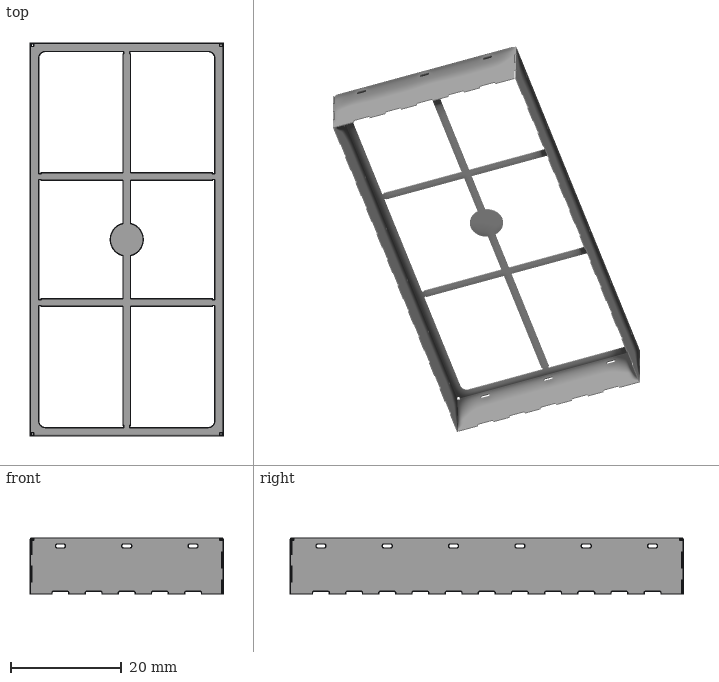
import cadquery as cq

width = 34.92
length = 71.12
height = 10.16
sheet = 0.2
bend_radius = 0.3

frame_width = 1.55
window_radius = 1.2
rib_width = 1.4
cross_rib_y = 11.4
rib_end_width = 1.1
rib_end_length = 0.4
disc_diameter = 6.0

slot_pitch = 12.0
slot_width = 1.75
slot_height = 0.7
slot_corner_radius = 0.3
slot_drop = 1.45
notch_pitch = slot_pitch / 2
notch_width = 3.0
notch_height = 0.5
notch_corner_radius = 0.25
slots_per_end_wall = 3
slots_per_side_wall = 6

relief_size = 0.6
relief_depth = 0.4
corner_gap = 0.1
finger_gap = 0.3
finger_count = 4

half_width = width / 2
half_length = length / 2
window_width = width - 2 * frame_width
window_length = length - 2 * frame_width
finger_zone = height - relief_depth
finger_height = (finger_zone - (finger_count - 1) * finger_gap) / finger_count


def block(size_x, size_y, size_z, x=0.0, y=0.0, base_z=0.0):
    """Box centred on x and y, standing on base_z."""
    box = cq.Workplane("XY").box(size_x, size_y, size_z, centered=(True, True, False))
    return box.translate((x, y, base_z))


def centred_positions(count, pitch):
    return [(i - (count - 1) / 2) * pitch for i in range(count)]


def folded_tray():
    """Open-bottomed tray of even sheet thickness, rounded along its top edges."""
    outer = block(width, length, height).faces(">Z").edges().fillet(bend_radius)
    inner = block(width - 2 * sheet, length - 2 * sheet, height - sheet)
    inner = inner.faces(">Z").edges().fillet(bend_radius - sheet)
    return outer.cut(inner)


def window():
    """Opening in the top face, inside the frame."""
    opening = block(window_width, window_length, height)
    return opening.edges("|Z").fillet(window_radius)


def top_ribs():
    """One lengthwise rib, two cross ribs and the central disc."""
    base_z = height - sheet
    ribs = block(rib_width, window_length - 2 * rib_end_length, sheet, base_z=base_z)
    ribs = ribs.union(block(rib_end_width, window_length + frame_width, sheet, base_z=base_z))
    for y in (-cross_rib_y, cross_rib_y):
        ribs = ribs.union(block(window_width - 2 * rib_end_length, rib_width, sheet, y=y, base_z=base_z))
        ribs = ribs.union(block(window_width + frame_width, rib_end_width, sheet, y=y, base_z=base_z))
    disc = cq.Workplane("XY").circle(disc_diameter / 2).extrude(sheet).translate((0, 0, base_z))
    return ribs.union(disc)


def slot_cutter(size_x, size_y, axis, x=0.0, y=0.0):
    """Slot with rounded corners, running along the given axis ("X" or "Y")."""
    slot_base = height - slot_drop - slot_height / 2
    slot = block(size_x, size_y, slot_height, x, y, slot_base)
    return slot.edges("|" + axis).fillet(slot_corner_radius)


def notch_cutter(size_x, size_y, axis, x=0.0, y=0.0):
    """Bottom-edge notch with rounded upper corners, running along the given axis."""
    notch = block(size_x, size_y, notch_height, x, y)
    return notch.edges("|" + axis + " and >Z").fillet(notch_corner_radius)


def wall_cutouts():
    """Slots and bottom notches, running through both facing walls."""
    cutters = cq.Workplane("XY")
    for x in centred_positions(slots_per_end_wall, slot_pitch):
        cutters = cutters.add(slot_cutter(slot_width, 2 * length, "Y", x=x))
    for y in centred_positions(slots_per_side_wall, slot_pitch):
        cutters = cutters.add(slot_cutter(2 * width, slot_width, "X", y=y))
    for x in centred_positions(2 * slots_per_end_wall - 1, notch_pitch):
        cutters = cutters.add(notch_cutter(notch_width, 2 * length, "Y", x=x))
    for y in centred_positions(2 * slots_per_side_wall - 1, notch_pitch):
        cutters = cutters.add(notch_cutter(2 * width, notch_width, "X", y=y))
    return cutters.combine()


def corner_block(size_x, size_y, size_z, side_x, side_y, base_z):
    """Box set flush into one outer corner of the frame."""
    x = side_x * (half_width - size_x / 2)
    y = side_y * (half_length - size_y / 2)
    return block(size_x, size_y, size_z, x, y, base_z)


def interlock_corner(body, side_x, side_y):
    """Open one corner, then fill it with fingers taken in turn from its two walls."""
    clearance = sheet + corner_gap
    body = body.cut(corner_block(clearance, clearance, finger_zone, side_x, side_y, 0))
    body = body.cut(corner_block(relief_size, relief_size, relief_depth, side_x, side_y, finger_zone))
    for i in range(finger_count):
        base_z = finger_zone - finger_height - i * (finger_height + finger_gap)
        from_side_wall = (i % 2 == 0) == (side_x == side_y)
        if from_side_wall:
            finger = corner_block(sheet, clearance, finger_height, side_x, side_y, base_z)
        else:
            finger = corner_block(clearance, sheet, finger_height, side_x, side_y, base_z)
        body = body.union(finger)
    return body


result = folded_tray().cut(window()).union(top_ribs()).cut(wall_cutouts())
for side_x in (-1, 1):
    for side_y in (-1, 1):
        result = interlock_corner(result, side_x, side_y)